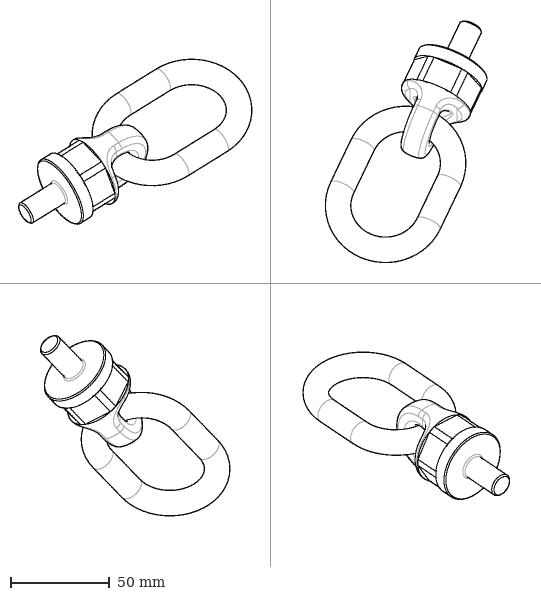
import cadquery as cq
import math


SHANK_DIA = 12.0
SHANK_LENGTH = 22.0
SHANK_CHAMFER = 0.8
SHANK_ROOT_FILLET = 0.8
FLANGE_DIA = 38.0
FLANGE_HEIGHT = 7.0
FLANGE_CHAMFER = 0.7
HEX_ACROSS_FLATS = 34.2
HEX_CORNER_DIA = 37.5
HEX_HEIGHT = 14.0

EYE_DIA = 37.8
EYE_RADIUS = EYE_DIA / 2
EYE_BOTTOM = FLANGE_HEIGHT + HEX_HEIGHT
DOME_CENTER = 34.5
NECK_WIDTH = 13.1
BASE_HEIGHT = 3.8
FLARE_RADIUS = 6.5
HOLE_DIA = 17.0
HOLE_CENTER = 33.8
EYE_FILLET = 3.0

BAR_DIA = 13.0
LINK_WIDTH = 61.0
LINK_STRAIGHT = 25.2
TOTAL_LENGTH = 137.0
LINK_TOP = TOTAL_LENGTH - SHANK_LENGTH
BEND_RADIUS = (LINK_WIDTH - BAR_DIA) / 2
UPPER_BEND_CENTER = LINK_TOP - LINK_WIDTH / 2
LOWER_BEND_CENTER = UPPER_BEND_CENTER - LINK_STRAIGHT


def plane_across_axis(y):
    """Workplane across the screw axis at height y, with its normal along +Y."""
    return cq.Workplane(cq.Plane(origin=(0, y, 0), xDir=(1, 0, 0), normal=(0, 1, 0)))


def turn(half_profile):
    """Revolve a closed profile fully around the screw axis."""
    return half_profile.revolve(360, (0, 0), (0, 1))


def make_screw():
    shank_radius = SHANK_DIA / 2
    flange_radius = FLANGE_DIA / 2
    shank_and_flange = turn(
        cq.Workplane("XY")
        .moveTo(0, -SHANK_LENGTH)
        .lineTo(shank_radius - SHANK_CHAMFER, -SHANK_LENGTH)
        .lineTo(shank_radius, SHANK_CHAMFER - SHANK_LENGTH)
        .lineTo(shank_radius, -SHANK_ROOT_FILLET)
        .radiusArc((shank_radius + SHANK_ROOT_FILLET, 0), SHANK_ROOT_FILLET)
        .lineTo(flange_radius - FLANGE_CHAMFER, 0)
        .lineTo(flange_radius, FLANGE_CHAMFER)
        .lineTo(flange_radius, FLANGE_HEIGHT)
        .lineTo(0, FLANGE_HEIGHT)
        .close()
    )
    across_corners = HEX_ACROSS_FLATS / math.cos(math.pi / 6)
    hexagon = plane_across_axis(FLANGE_HEIGHT).polygon(6, across_corners).extrude(HEX_HEIGHT)
    corner_limit = plane_across_axis(FLANGE_HEIGHT).circle(HEX_CORNER_DIA / 2).extrude(HEX_HEIGHT)
    head = hexagon.intersect(corner_limit)
    return shank_and_flange.union(head).solids()


def make_eye_blank():
    """Cylinder closed by a hemisphere, cut to the outline of the flat base and the flared neck."""
    dome = turn(
        cq.Workplane("XY")
        .moveTo(0, EYE_BOTTOM)
        .lineTo(EYE_RADIUS, EYE_BOTTOM)
        .lineTo(EYE_RADIUS, DOME_CENTER)
        .radiusArc((0, DOME_CENTER + EYE_RADIUS), -EYE_RADIUS)
        .close()
    )
    base_top = EYE_BOTTOM + BASE_HEIGHT
    half_neck = NECK_WIDTH / 2
    dome_top = DOME_CENTER + EYE_RADIUS
    neck = (
        cq.Workplane("XY")
        .moveTo(0, EYE_BOTTOM)
        .lineTo(EYE_RADIUS, EYE_BOTTOM)
        .lineTo(EYE_RADIUS, base_top)
        .lineTo(half_neck + FLARE_RADIUS, base_top)
        .radiusArc((half_neck, base_top + FLARE_RADIUS), FLARE_RADIUS)
        .lineTo(half_neck, dome_top)
        .lineTo(0, dome_top)
        .mirrorY()
        .extrude(EYE_RADIUS, both=True)
    )
    return dome.intersect(neck)


def make_eye():
    eye = make_eye_blank()

    above_bottom_edge = cq.selectors.BoxSelector(
        (-EYE_DIA, EYE_BOTTOM + BASE_HEIGHT / 2, -EYE_DIA),
        (EYE_DIA, LINK_TOP, EYE_DIA),
    )
    eye = eye.edges(above_bottom_edge).edges("not(|Z or >Y)").fillet(EYE_FILLET)

    hole = (
        cq.Workplane("YZ")
        .center(HOLE_CENTER, 0)
        .circle(HOLE_DIA / 2)
        .extrude(EYE_RADIUS, both=True)
    )
    hole_radius = HOLE_DIA / 2
    around_hole_axis = cq.selectors.BoxSelector(
        (-EYE_DIA, HOLE_CENTER - hole_radius, -hole_radius),
        (EYE_DIA, HOLE_CENTER + hole_radius, hole_radius),
    )
    eye = eye.cut(hole).edges(around_hole_axis).edges("not |X").fillet(EYE_FILLET)
    return eye.solids()


def make_link():
    path = (
        cq.Workplane("XY")
        .moveTo(BEND_RADIUS, LOWER_BEND_CENTER)
        .lineTo(BEND_RADIUS, UPPER_BEND_CENTER)
        .radiusArc((-BEND_RADIUS, UPPER_BEND_CENTER), -BEND_RADIUS)
        .lineTo(-BEND_RADIUS, LOWER_BEND_CENTER)
        .radiusArc((BEND_RADIUS, LOWER_BEND_CENTER), -BEND_RADIUS)
        .close()
    )
    bar = plane_across_axis(LOWER_BEND_CENTER).center(BEND_RADIUS, 0).circle(BAR_DIA / 2)
    return bar.sweep(path).solids()


screw = make_screw()
eye = make_eye()
link = make_link()
result = cq.Compound.makeCompound([screw.val(), eye.val(), link.val()])